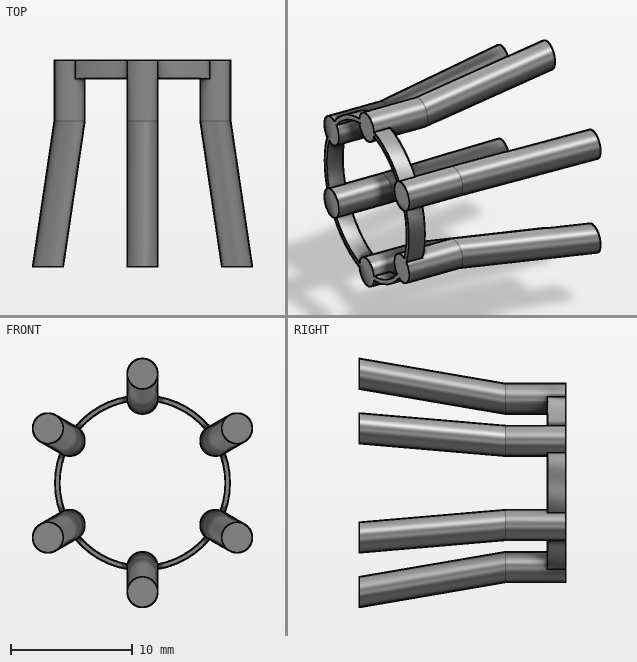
import cadquery as cq

length = 17.0
height = 20.5
leg_diameter = 2.52
leg_count = 6
straight_length = 5.0
base_circle_radius = 6.93
ring_outer_radius = 7.21
ring_wall = 0.4
ring_width = 1.52

leg_radius = leg_diameter / 2
end_circle_radius = height / 2 - leg_radius
splayed_length = length - straight_length


def make_ring():
    """Thin band joining the legs, flush with their base ends."""
    return (
        cq.Workplane("XZ")
        .circle(ring_outer_radius)
        .circle(ring_outer_radius - ring_wall)
        .extrude(ring_width)
    )


def make_leg():
    """Leg at the +Z position: a straight base, then a stretch splayed outward."""
    base = (
        cq.Workplane("XZ")
        .center(0, base_circle_radius)
        .circle(leg_radius)
        .extrude(straight_length)
    )
    splayed = (
        cq.Workplane("XZ", origin=(0, -straight_length, base_circle_radius))
        .circle(leg_radius)
        .workplane(offset=splayed_length)
        .center(0, end_circle_radius - base_circle_radius)
        .circle(leg_radius)
        .loft(ruled=True)
    )
    return base.union(splayed)


result = make_ring()
leg = make_leg()
for index in range(leg_count):
    angle = index * 360 / leg_count
    result = result.union(leg.rotate((0, 0, 0), (0, 1, 0), angle))